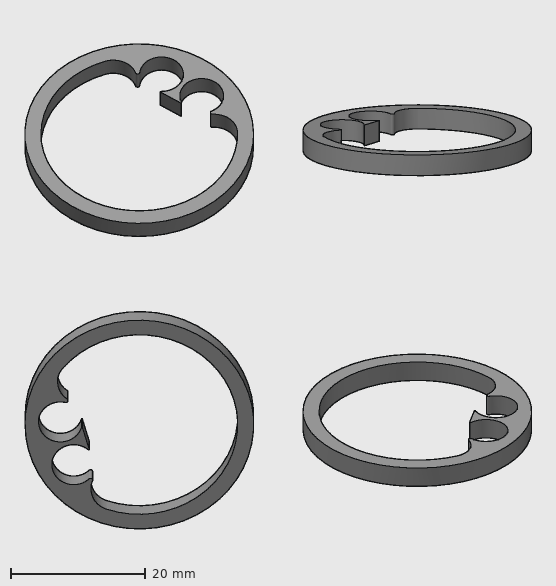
import cadquery as cq
import math

outer_radius = 17.02
inner_radius = 14.62
thickness = 3.175

seat_radius = 3.25
seat_x = 3.62
seat_y = 11.18

shoulder_radius = 3.5
shoulder_angle = math.radians(35.3)

lip_radius = 0.32

post_half_width = 1.9
post_end_y = 8.28


def polar(center, radius, angle):
    return (center[0] + radius * math.cos(angle), center[1] + radius * math.sin(angle))


def direction(start, end):
    return math.atan2(end[1] - start[1], end[0] - start[0])


def tangent_circle_center(center_a, radius_a, center_b, radius_b, radius):
    """Center of a circle touching circles A and B from outside, on the left going from A to B."""
    reach_a = radius_a + radius
    reach_b = radius_b + radius
    gap = math.dist(center_a, center_b)
    turn = math.acos((reach_a**2 + gap**2 - reach_b**2) / (2 * reach_a * gap))
    return polar(center_a, reach_a, direction(center_a, center_b) + turn)


def opening_half():
    """Half of the opening through the ring, on the +X side of the YZ plane."""
    axis = (0, 0)
    seat = (seat_x, seat_y)
    shoulder = polar(axis, inner_radius - shoulder_radius, shoulder_angle)
    lip = tangent_circle_center(seat, seat_radius, shoulder, shoulder_radius, lip_radius)

    post_corner = (post_half_width, post_end_y)
    seat_drop = math.sqrt(seat_radius**2 - (seat_x - post_half_width) ** 2)
    seat_start = (post_half_width, seat_y - seat_drop)

    seat_end = polar(seat, seat_radius, direction(seat, lip))
    shoulder_start = polar(shoulder, shoulder_radius, direction(shoulder, lip))
    shoulder_end = polar(axis, inner_radius, shoulder_angle)

    seat_top = (seat_x, seat_y + seat_radius)
    lip_tip = polar(lip, lip_radius, direction(seat, shoulder) - math.pi / 2)
    shoulder_middle = polar(
        shoulder, shoulder_radius, (direction(shoulder, lip) + shoulder_angle) / 2
    )
    bore_middle = (inner_radius, 0)
    bore_bottom = (0, -inner_radius)

    return (
        cq.Workplane("XY")
        .moveTo(0, post_end_y)
        .lineTo(*post_corner)
        .lineTo(*seat_start)
        .threePointArc(seat_top, seat_end)
        .threePointArc(lip_tip, shoulder_start)
        .threePointArc(shoulder_middle, shoulder_end)
        .threePointArc(bore_middle, bore_bottom)
        .close()
        .extrude(thickness)
    )


disc = cq.Workplane("XY").circle(outer_radius).extrude(thickness)
half = opening_half()
result = disc.cut(half, clean=False).cut(half.mirror("YZ"), clean=False)